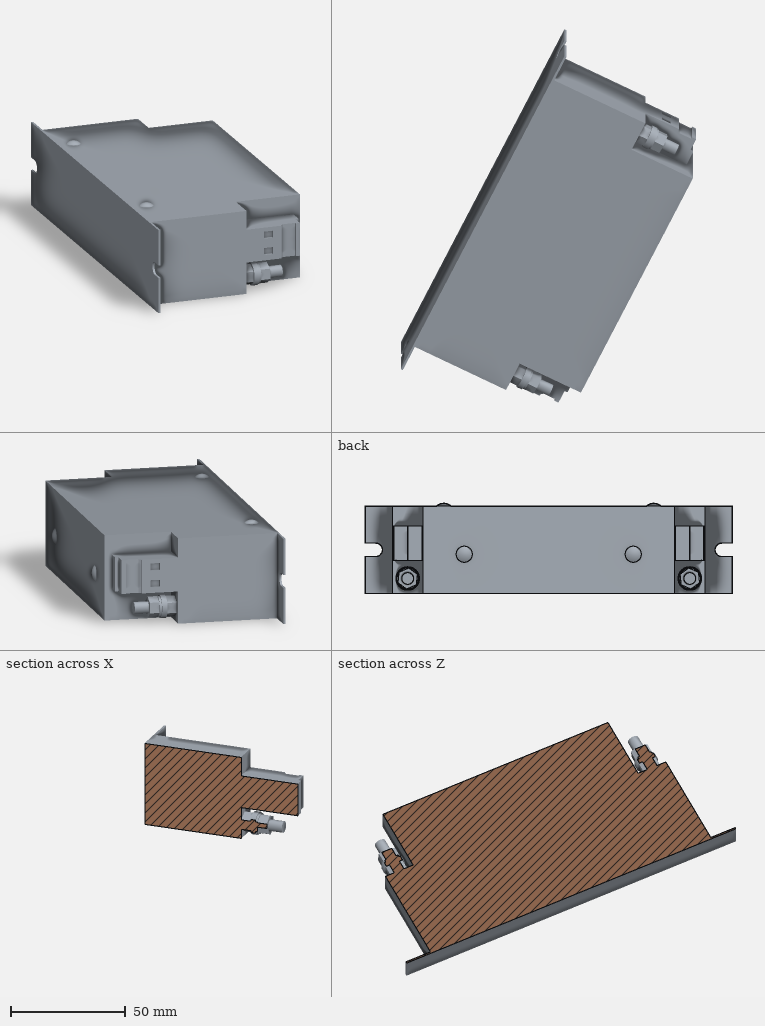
import cadquery as cq
import math

PLATE_LENGTH = 160.0
PLATE_THICKNESS = 1.0
HEIGHT = 38.0
HOUSING_WIDTH = 136.3
HOUSING_DEPTH = 75.0
SHOULDER_Y = 45.3
BACK_WIDTH = 109.5
SHOULDER_X = HOUSING_WIDTH / 2
BACK_X = BACK_WIDTH / 2

SLOT_WIDTH = 5.8
SLOT_LENGTH = 7.5

TOP_SCREW_RADIUS = 3.2
BACK_SCREW_RADIUS = 3.5
SCREW_RISE = 1.3
TOP_SCREW_X = 45.8
TOP_SCREW_Y = 7.0
BACK_SCREW_X = 36.8
BACK_SCREW_Z = 17.1

BLOCK_BOTTOM = 14.4
BLOCK_HEIGHT = 15.0
BLOCK_TOP_Y = 71.8
LIP_END_Y = 70.4
LIP_START_Y = 68.5
WAIST_Y = 62.7
SLOPE_START_Y = 61.6
STEP_INSET = 0.6
LIP_INSET = 0.8
WAIST_INSET = 1.6
RIDGE_INSET = 6.5
RIDGE_DRAFT = 0.3
RELIEF_WIDTH = 0.5
RELIEF_LENGTH = 4.3
POLE_COUNT = 2
POLE_PITCH = BLOCK_HEIGHT / POLE_COUNT
WINDOW_LENGTH = 4.2
WINDOW_HEIGHT = 3.2
WINDOW_DEPTH = 1.5
WINDOW_Y = 55.5
WINDOW_RAISE = 0.3

STUD_X = (SHOULDER_X + BACK_X) / 2
STUD_Z = 6.5
STUD_RADIUS = 2.5
STUD_END_Y = 63.7
NUT_CORNER_RADIUS = 4.6
NUT_LENGTH = 4.3
NUT_TILT = -6.0
WIDE_WASHER_RADIUS = 5.1
WIDE_WASHER_LENGTH = 2.4
SMALL_WASHER_LENGTH = 1.0


def both_sides(shape):
    """Return the shape joined with its mirror image across the YZ plane."""
    return shape.union(shape.mirror("YZ"))


def make_housing():
    rear = cq.Workplane("XY").box(BACK_WIDTH, HOUSING_DEPTH, HEIGHT, centered=(True, False, False))
    front = cq.Workplane("XY").box(HOUSING_WIDTH, SHOULDER_Y, HEIGHT, centered=(True, False, False))
    return rear.union(front)


def make_plate():
    plate = cq.Workplane("XY").box(PLATE_LENGTH, PLATE_THICKNESS, HEIGHT, centered=(True, False, False))
    slots = (
        cq.Workplane("XZ", origin=(0, PLATE_THICKNESS, HEIGHT / 2))
        .pushPoints([(-PLATE_LENGTH / 2, 0), (PLATE_LENGTH / 2, 0)])
        .slot2D(2 * SLOT_LENGTH, SLOT_WIDTH)
        .extrude(PLATE_THICKNESS)
    )
    return plate.cut(slots)


def make_screw_head(radius):
    """Spherical cap standing on the XY plane at the origin."""
    sphere_radius = (radius**2 + SCREW_RISE**2) / (2 * SCREW_RISE)
    drop = sphere_radius - SCREW_RISE
    half_angle = math.asin(radius / sphere_radius) / 2
    arc_middle = (sphere_radius * math.sin(half_angle), sphere_radius * math.cos(half_angle) - drop)
    return (
        cq.Workplane("XZ")
        .lineTo(radius, 0)
        .threePointArc(arc_middle, (0, SCREW_RISE))
        .close()
        .revolve(360, (0, 0, 0), (0, 1, 0))
    )


def make_terminal_block():
    step_x = -SHOULDER_X + STEP_INSET
    lip_x = -SHOULDER_X + LIP_INSET
    waist_x = -SHOULDER_X + WAIST_INSET
    ridge_x = -SHOULDER_X + RIDGE_INSET
    relief_x = -BACK_X - RELIEF_WIDTH
    relief_y = BLOCK_TOP_Y - RELIEF_LENGTH
    outline = [
        (-BACK_X, SHOULDER_Y),
        (-SHOULDER_X, SHOULDER_Y),
        (-SHOULDER_X, SLOPE_START_Y),
        (step_x, SLOPE_START_Y),
        (waist_x, WAIST_Y),
        (waist_x, LIP_START_Y),
        (lip_x, LIP_START_Y),
        (lip_x, LIP_END_Y),
        (ridge_x, LIP_END_Y),
        (ridge_x + RIDGE_DRAFT, BLOCK_TOP_Y),
        (relief_x, BLOCK_TOP_Y),
        (relief_x, relief_y),
        (-BACK_X, relief_y),
    ]
    block = cq.Workplane("XY").workplane(offset=BLOCK_BOTTOM).polyline(outline).close().extrude(BLOCK_HEIGHT)
    for pole in range(POLE_COUNT):
        window_z = BLOCK_BOTTOM + (pole + 0.5) * POLE_PITCH + WINDOW_RAISE
        window = cq.Workplane("XY").box(2 * WINDOW_DEPTH, WINDOW_LENGTH, WINDOW_HEIGHT)
        block = block.cut(window.translate((-SHOULDER_X, WINDOW_Y, window_z)))
    return block


def make_rod(radius, start_y, length):
    """Round bar on the stud axis, running toward +Y."""
    return cq.Workplane("XZ", origin=(-STUD_X, start_y, STUD_Z)).circle(radius).extrude(-length)


def make_nut(start_y, tilt):
    """Hexagonal nut on the stud axis, one corner up before tilting."""
    return (
        cq.Workplane("XZ", origin=(-STUD_X, start_y, STUD_Z))
        .transformed(rotate=(0, 0, 90 + tilt))
        .polygon(6, 2 * NUT_CORNER_RADIUS)
        .extrude(-NUT_LENGTH)
    )


def make_earth_stud():
    wide_washer_y = SHOULDER_Y + NUT_LENGTH
    small_washer_y = wide_washer_y + WIDE_WASHER_LENGTH
    outer_nut_y = small_washer_y + SMALL_WASHER_LENGTH
    stud = make_rod(STUD_RADIUS, SHOULDER_Y, STUD_END_Y - SHOULDER_Y)
    stud = stud.union(make_nut(SHOULDER_Y, 0))
    stud = stud.union(make_rod(WIDE_WASHER_RADIUS, wide_washer_y, WIDE_WASHER_LENGTH))
    stud = stud.union(make_rod(NUT_CORNER_RADIUS, small_washer_y, SMALL_WASHER_LENGTH))
    return stud.union(make_nut(outer_nut_y, NUT_TILT))


top_screw = make_screw_head(TOP_SCREW_RADIUS).translate((-TOP_SCREW_X, TOP_SCREW_Y, HEIGHT))
back_screw = (
    make_screw_head(BACK_SCREW_RADIUS)
    .rotate((0, 0, 0), (1, 0, 0), -90)
    .translate((-BACK_SCREW_X, HOUSING_DEPTH, BACK_SCREW_Z))
)

result = make_housing().union(make_plate())
for feature in (top_screw, back_screw, make_terminal_block(), make_earth_stud()):
    result = result.union(both_sides(feature))